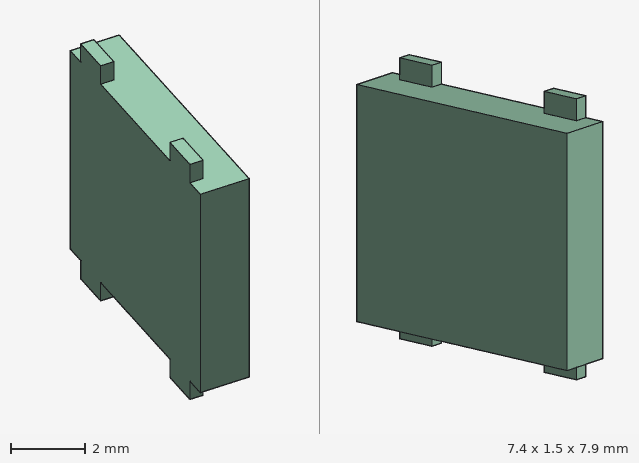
import cadquery as cq

body_width = 7.4
body_depth = 1.5
body_height = 6.67

overall_height = 7.9
tab_width = 1.14
tab_thickness = 0.4
tab_edge_inset = 0.59
tab_offset_x = body_width / 2 - tab_edge_inset - tab_width / 2

front_y = -body_depth / 2


def make_body():
    return cq.Workplane("XY").box(body_width, body_depth, body_height)


def make_tab_bar(center_x):
    """Full-height bar whose two ends stand out of the body as tabs."""
    bar = cq.Workplane("XY").box(tab_width, tab_thickness, overall_height)
    return bar.translate((center_x, front_y + tab_thickness / 2, 0))


result = make_body()
for side in (-1, 1):
    result = result.union(make_tab_bar(side * tab_offset_x))
result = result.clean()